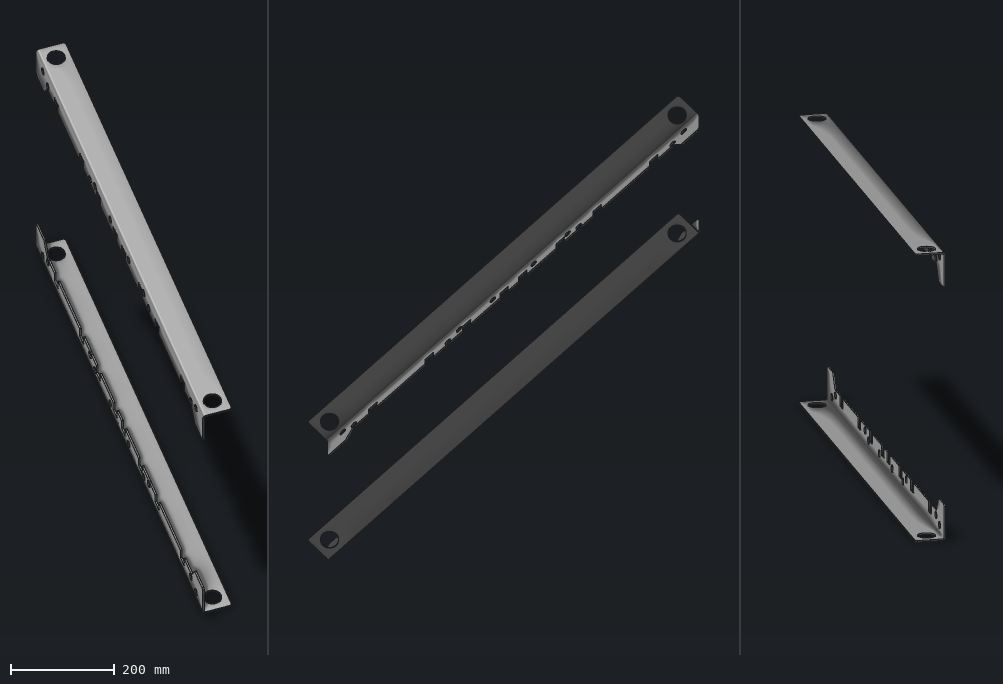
import cadquery as cq

length = 992.0
depth = 61.0
overall_height = 578.0

thickness = 3.5
bend_radius = 7.0
web_height = 43.0
ear_height = 72.0

slope_start = 429.0
slope_end = 448.0
corner_chamfer = 4.0

notch_width = 22.0
notch_bottom = 22.0
notch_offsets = [25.0, 125.0, 224.0, 375.0]

web_hole_diameter = 14.0
near_row_height = 20.0
near_row_offsets = [55.0, 145.0, 455.0]
far_row_height = 32.0
far_row_offsets = [175.0, 426.0]

flange_hole_diameter = 35.0
flange_hole_offset = 464.0
flange_hole_y = 31.0


def both_sides(offsets):
    """Mirror distances from mid-length to both sides."""
    return [side * offset for offset in offsets for side in (-1, 1)]


def make_angle():
    """Bent L-section: flange on Z = 0, web on Y = 0, centred along X."""
    angle = (
        cq.Workplane("YZ")
        .rect(depth, ear_height, centered=False)
        .extrude(length / 2, both=True)
        .edges("|X and <Y and <Z")
        .fillet(bend_radius)
    )
    inside = (
        cq.Workplane("YZ")
        .center(thickness, thickness)
        .rect(depth, ear_height, centered=False)
        .extrude(length / 2, both=True)
        .edges("|X and <Y and <Z")
        .fillet(bend_radius - thickness)
    )
    return angle.cut(inside)


def chamfer_corners(angle):
    """Chamfer the free end corners of the flange and of the ears."""
    angle = angle.edges("|Z and >Y").chamfer(corner_chamfer)
    return angle.edges("|Y and >Z").chamfer(corner_chamfer)


def make_ear_gap():
    """Cutter that lowers the web between the two sloped ears."""
    return (
        cq.Workplane("XZ")
        .moveTo(-slope_end, ear_height)
        .lineTo(-slope_start, web_height)
        .lineTo(slope_start, web_height)
        .lineTo(slope_end, ear_height)
        .close()
        .extrude(-thickness)
    )


def make_notches():
    notch_height = web_height - notch_bottom
    notch_middle = notch_bottom + notch_height / 2
    return (
        cq.Workplane("XZ")
        .pushPoints([(x, notch_middle) for x in both_sides(notch_offsets)])
        .rect(notch_width, notch_height)
        .extrude(-thickness)
    )


def make_web_holes():
    near_row = [(x, near_row_height) for x in both_sides(near_row_offsets)]
    far_row = [(x, far_row_height) for x in both_sides(far_row_offsets)]
    return (
        cq.Workplane("XZ")
        .pushPoints(near_row + far_row)
        .circle(web_hole_diameter / 2)
        .extrude(-thickness)
    )


def make_flange_holes():
    return (
        cq.Workplane("XY")
        .pushPoints([(x, flange_hole_y) for x in both_sides([flange_hole_offset])])
        .circle(flange_hole_diameter / 2)
        .extrude(thickness)
    )


def make_rail():
    """Complete rail with its flange at the bottom."""
    rail = chamfer_corners(make_angle())
    for cutter in (make_ear_gap(), make_notches(), make_web_holes(), make_flange_holes()):
        rail = rail.cut(cutter)
    return rail


rails = []
for upside_down in (False, True):
    rail = make_rail()
    if upside_down:
        rail = rail.mirror("XY", (0, 0, overall_height / 2))
    rails.append(rail.val())

result = cq.Compound.makeCompound(rails)